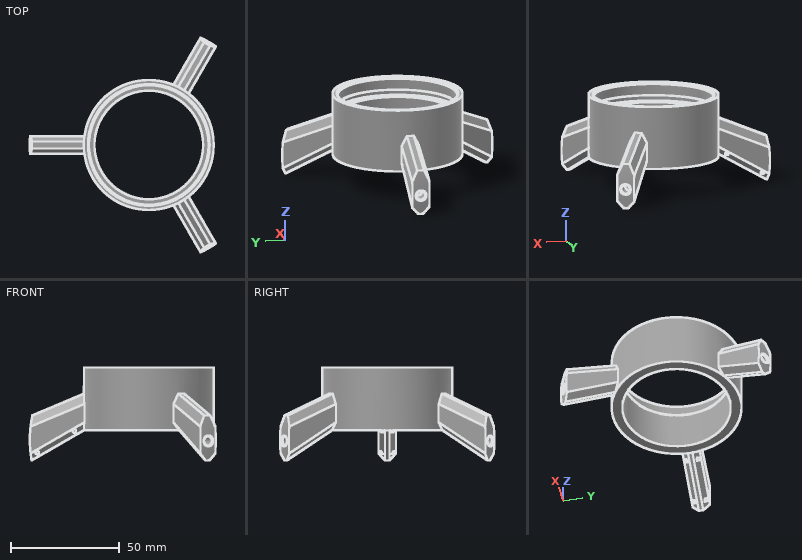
import cadquery as cq
import math

ring_diameter = 60.0
ring_height = 29.1
bore_diameter = 50.0
seat_diameter = 55.0
seat_floor_z = 20.3
recess_diameter = 56.2
recess_taper_height = 0.3
recess_top_z = 23.1
rim_chamfer_height = 0.8

arm_angles = (60, 180, 300)
arm_start_radius = 27.7
arm_overrun_radius = 59.4
arm_width = 8.1
arm_top_width = 3.2
arm_bottom_width = 2.1
arm_top_z = 16.9
top_bevel_height = 4.8
bottom_bevel_height = 3.6
top_slope = 0.42
bottom_slope = math.tan(math.radians(30))
tip_radius = 54.9
tip_center_z = -4.4

tip_hole_diameter = 4.2
tip_hole_mouth_diameter = 5.1
tip_hole_z = -4.8
tip_hole_depth = 7.9
drill_point_angle = 118

pin_hole_diameter = 1.5
pin_hole_radii = (34.3, 51.5)
pin_hole_rise = 2.3

ring_radius = ring_diameter / 2


def bottom_edge_z(radius):
    return -bottom_slope * (radius - ring_radius)


def arm_section(radius):
    """Corners of the arm section, as (across, height), at a distance from the ring axis."""
    top_z = arm_top_z - top_slope * (radius - ring_radius)
    bottom_z = bottom_edge_z(radius)
    right_side = [
        (arm_bottom_width / 2, bottom_z),
        (arm_width / 2, bottom_z + bottom_bevel_height),
        (arm_width / 2, top_z - top_bevel_height),
        (arm_top_width / 2, top_z),
    ]
    left_side = [(-across, height) for across, height in reversed(right_side)]
    return right_side + left_side


def make_arm():
    """Arm along +X, with a rounded tip and its tip hole."""
    inner = cq.Workplane("YZ", origin=(arm_start_radius, 0, 0)).polyline(arm_section(arm_start_radius)).close()
    blank = (
        inner.workplane(offset=arm_overrun_radius - arm_start_radius)
        .polyline(arm_section(arm_overrun_radius))
        .close()
        .loft(ruled=True)
    )
    tip_ball = cq.Workplane("XY", origin=(0, 0, tip_center_z)).sphere(tip_radius)
    return blank.intersect(tip_ball).cut(make_tip_hole())


def make_tip_hole():
    """Drilled blind hole with a pointed end and a 45 degree countersunk mouth."""
    hole_radius = tip_hole_diameter / 2
    mouth_radius = tip_hole_mouth_diameter / 2
    countersink = mouth_radius - hole_radius
    wall_end = tip_radius - tip_hole_depth
    point_length = hole_radius / math.tan(math.radians(drill_point_angle / 2))
    return (
        cq.Workplane("XZ")
        .moveTo(wall_end - point_length, tip_hole_z)
        .lineTo(wall_end, tip_hole_z + hole_radius)
        .lineTo(tip_radius - countersink, tip_hole_z + hole_radius)
        .lineTo(tip_radius, tip_hole_z + mouth_radius)
        .lineTo(tip_radius, tip_hole_z)
        .close()
        .revolve(360, (0, tip_hole_z, 0), (1, tip_hole_z, 0))
    )


def make_bore():
    """Through bore, seat with a groove at its foot, and chamfered rim, turned about Z."""
    bore_radius = bore_diameter / 2
    seat_radius = seat_diameter / 2
    recess_radius = recess_diameter / 2
    profile = [
        (0, 0),
        (bore_radius, 0),
        (bore_radius, seat_floor_z),
        (seat_radius, seat_floor_z),
        (recess_radius, seat_floor_z + recess_taper_height),
        (recess_radius, recess_top_z),
        (seat_radius, recess_top_z),
        (seat_radius, ring_height - rim_chamfer_height),
        (recess_radius, ring_height),
        (0, ring_height),
    ]
    return cq.Workplane("XZ").polyline(profile).close().revolve(360, (0, 0, 0), (0, 1, 0))


def make_pin_holes():
    centers = [(-radius, bottom_edge_z(radius) + pin_hole_rise) for radius in pin_hole_radii]
    return (
        cq.Workplane("XZ")
        .pushPoints(centers)
        .circle(pin_hole_diameter / 2)
        .extrude(arm_width / 2, both=True)
    )


body = cq.Workplane("XY").circle(ring_radius).extrude(ring_height)
for angle in arm_angles:
    body = body.union(make_arm().rotate((0, 0, 0), (0, 0, 1), angle))

result = body.cut(make_bore()).cut(make_pin_holes())